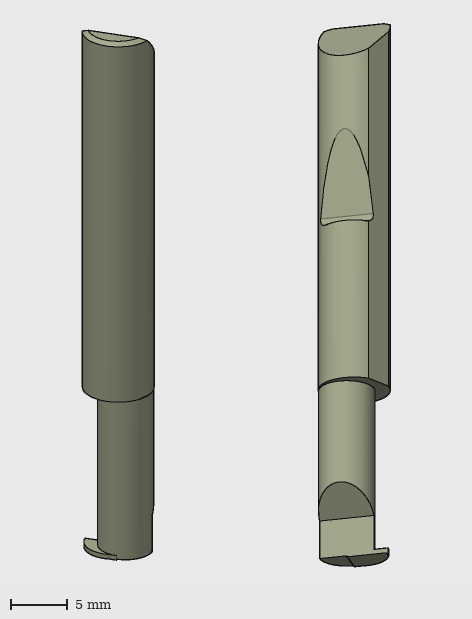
import cadquery as cq

total_length = 50.8
shank_radius = 3.175
neck_length = 15.85
neck_radius = 2.5
neck_center_x = shank_radius - neck_radius
neck_bottom = 0.25

end_chamfer_height = 0.3
end_chamfer_width = 0.5
end_bevel_low = 46.4
flat_distance = 2.9
flat_angle = 153.4
notch_bottom = 30.75
notch_top = 39.4
notch_floor_y = 1.8
notch_corner_radius = 0.75

chip_slope_low = 3.8
tip_reach = 3.1
head_top = 0.6
head_bottom = 0.15
tip_point_width = 0.2
head_arc_mid_x = -2.25
head_arc_mid_y = -1.85

margin = 2.55


def side_cutter(points):
    """Prism along X, wide enough to cross the bar, from a (Y, Z) outline."""
    return cq.Workplane("YZ").polyline(points).close().extrude(shank_radius + margin, both=True)


def make_shank():
    shank = cq.Workplane("XY").workplane(offset=neck_length).circle(shank_radius)
    shank = shank.extrude(total_length - neck_length)
    return shank.faces(">Z").edges().chamfer(end_chamfer_height, end_chamfer_width)


def make_end_bevel():
    outer_y = shank_radius + margin
    top = total_length + margin
    low_z = end_bevel_low - margin
    return side_cutter([(outer_y, low_z), (outer_y, top), (outer_y - (top - low_z), top)])


def make_side_flat():
    flat = cq.Workplane("XY").box(margin, 2 * shank_radius, total_length, centered=(False, True, False))
    return flat.translate((flat_distance, 0, neck_length)).rotate((0, 0, 0), (0, 0, 1), flat_angle)


def make_notch():
    slope = (shank_radius - notch_floor_y) / (notch_top - notch_bottom)
    outer_y = shank_radius + margin
    notch = side_cutter([
        (notch_floor_y, notch_bottom),
        (outer_y, notch_bottom),
        (outer_y, notch_bottom + (outer_y - notch_floor_y) / slope),
    ])
    return notch.edges("|X").edges("<Y").fillet(notch_corner_radius)


def make_neck():
    neck = cq.Workplane("XY").workplane(offset=neck_bottom).center(neck_center_x, 0)
    return neck.circle(neck_radius).extrude(neck_length - neck_bottom)


def make_chip_space():
    outer_y = neck_radius + margin
    return side_cutter([(0, -margin), (outer_y, -margin), (outer_y, chip_slope_low + outer_y), (0, chip_slope_low)])


def make_head():
    """Thin hooked plate reaching to -X, with its rake face on Y = 0."""
    head = (
        cq.Workplane("XY")
        .moveTo(neck_center_x, 0)
        .lineTo(-tip_reach, 0)
        .threePointArc((head_arc_mid_x, head_arc_mid_y), (0, -neck_radius))
        .lineTo(neck_center_x, -neck_radius)
        .close()
        .extrude(head_top)
    )
    clearance = (
        cq.Workplane("XZ")
        .polyline([
            (-tip_reach, 0),
            (-tip_reach + tip_point_width, head_bottom),
            (shank_radius, head_bottom),
            (shank_radius, -margin),
            (-tip_reach, -margin),
        ])
        .close()
        .extrude(neck_radius + margin, both=True)
    )
    return head.cut(clearance)


shank = make_shank().cut(make_end_bevel()).cut(make_side_flat()).cut(make_notch())
neck = make_neck().cut(make_chip_space())
result = shank.union(neck).union(make_head())